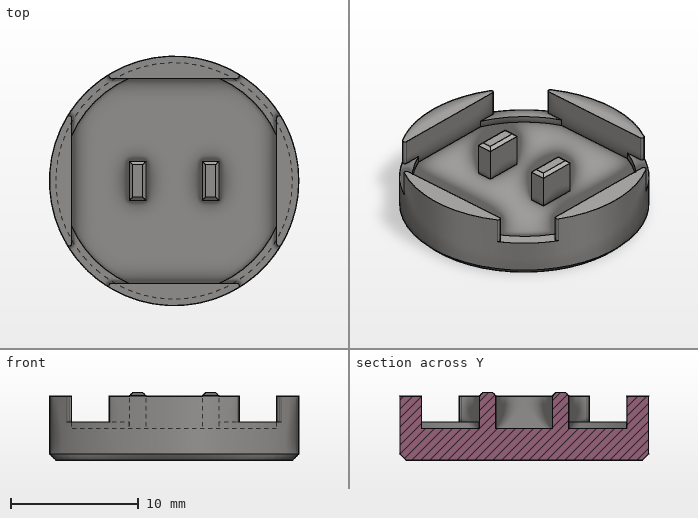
import cadquery as cq

outer_diameter = 19.5
outer_radius = outer_diameter / 2
blank_size = outer_diameter + 0.39
total_height = 5.3
prong_protrusion = 0.3
wall_top = total_height - prong_protrusion
base_chamfer = 0.5

rim_height = 3.0
floor_height = 2.5
recess_radius = 8.75
flat_distance = 8.01
segment_width = 10.18
segment_corner_radius = 0.18

prong_spacing = 5.7
prong_width = 1.29
prong_length = 3.05
prong_chamfer = 0.25


def make_envelope():
    """Full-height round body with a chamfered lower edge."""
    body = cq.Workplane("XY").circle(outer_radius).extrude(wall_top)
    return body.faces("<Z").edges().chamfer(base_chamfer)


def make_stepped_blank():
    """Square blank up to the rim that carries the four wall blocks."""
    blank = cq.Workplane("XY").rect(blank_size, blank_size).extrude(rim_height)
    for angle in (0, 90, 180, 270):
        blank = blank.union(make_segment(angle))
    return blank


def make_body():
    """Round body with four wall segments whose upright corners are rounded."""
    body = make_envelope().intersect(make_stepped_blank())
    corners = body.edges("|Z").filter(lambda edge: edge.Center().z > rim_height)
    return corners.fillet(segment_corner_radius)


def make_recess():
    """Round recess cut flat on its four sides where it meets the wall segments."""
    depth = rim_height - floor_height
    disc = cq.Workplane("XY").workplane(offset=floor_height).circle(recess_radius).extrude(depth)
    square = (
        cq.Workplane("XY")
        .workplane(offset=floor_height)
        .rect(2 * flat_distance, 2 * flat_distance)
        .extrude(depth)
    )
    return disc.intersect(square)


def make_segment(angle):
    """Block for one wall segment with a flat inner face."""
    radial_depth = blank_size / 2 - flat_distance
    block = (
        cq.Workplane("XY")
        .workplane(offset=rim_height)
        .center(flat_distance + radial_depth / 2, 0)
        .rect(radial_depth, segment_width)
        .extrude(wall_top - rim_height)
    )
    return block.rotate((0, 0, 0), (0, 0, 1), angle)


def make_prong(x):
    """Prong with a chamfered tip."""
    return (
        cq.Workplane("XY")
        .workplane(offset=floor_height)
        .center(x, 0)
        .rect(prong_width, prong_length)
        .extrude(total_height - floor_height)
        .faces(">Z")
        .edges()
        .chamfer(prong_chamfer)
    )


result = make_body().cut(make_recess())
for side in (-1, 1):
    result = result.union(make_prong(side * prong_spacing / 2))